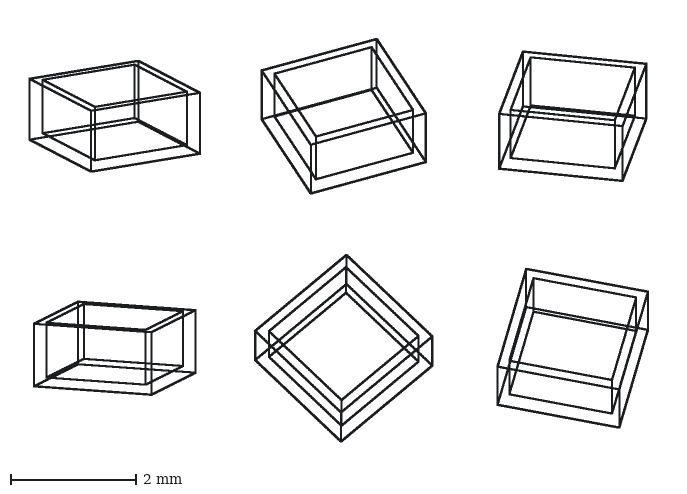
import cadquery as cq

length = 2.01
width = 2.0
height = 1.02

wall = 0.157
pocket_depth = 0.892

body = cq.Workplane("XY").box(length, width, height, centered=(True, True, False))

result = (
    body.faces(">Z")
    .workplane()
    .rect(length - 2 * wall, width - 2 * wall)
    .cutBlind(-pocket_depth)
)